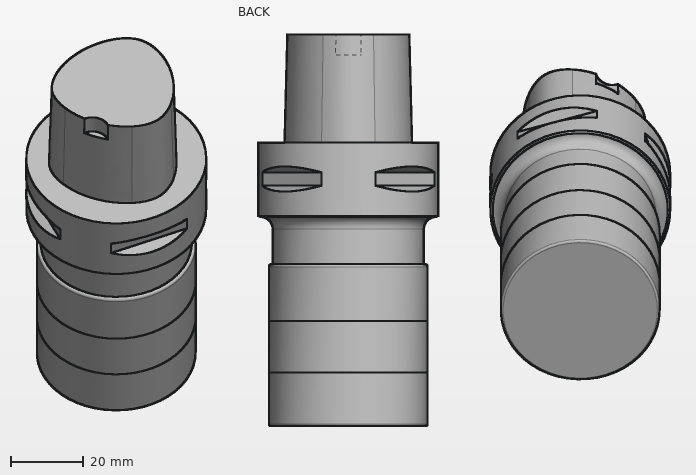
import cadquery as cq
import math

TOTAL_HEIGHT = 108.6
SHANK_BASE_Z = 78.6
COLLAR_BOTTOM_Z = 58.3
NECK_TOP_Z = 54.7
SLEEVE_TOP_Z = 45.0
UPPER_JOINT_Z = 29.2
LOWER_JOINT_Z = 14.9

COLLAR_DIAMETER = 50.0
NECK_DIAMETER = 42.0
SLEEVE_DIAMETER = 44.1
NECK_FILLET = 3.3
SLEEVE_TOP_FILLET = 0.9
SLEEVE_BOTTOM_FILLET = 0.7

SHANK_MEAN_RADIUS = 17.7
SHANK_LOBE_HEIGHT = 1.1
SHANK_TAPER = 0.8
LOBE_COUNT = 3
FLANK_HALF_ANGLE = 25.0
CURVE_STEPS = 8

NOTCH_DEPTH = 5.6
NOTCH_RADIUS = 4.7
NOTCH_BACK_Y = -14.1

GROOVE_COUNT = 4
GROOVE_CENTRE_Z = 68.5
GROOVE_FLOOR_RADIUS = 22.2
GROOVE_FLOOR_WIDTH = 3.7
GROOVE_FLANK_ANGLE = 30.0


def lobed_point(mean_radius, angle, z):
    """Point of the three-lobed outline whose outward normal lies at the given angle."""
    lobe_phase = LOBE_COUNT * (angle - math.pi / 2)
    support = mean_radius + SHANK_LOBE_HEIGHT * math.cos(lobe_phase)
    slope = -LOBE_COUNT * SHANK_LOBE_HEIGHT * math.sin(lobe_phase)
    x = support * math.cos(angle) - slope * math.sin(angle)
    y = support * math.sin(angle) + slope * math.cos(angle)
    return cq.Vector(x, y, z)


def lobed_span(mean_radius, z, start, end):
    """Smooth outline edge between two normal angles in degrees."""
    angles = [math.radians(start + (end - start) * i / CURVE_STEPS) for i in range(CURVE_STEPS + 1)]
    points = [lobed_point(mean_radius, angle, z) for angle in angles]
    tangents = [cq.Vector(-math.sin(a), math.cos(a), 0) for a in (angles[0], angles[-1])]
    return cq.Edge.makeSpline(points, tangents=tangents)


def lobed_outline(mean_radius, z):
    """Closed outline of alternating flanks and lobes, starting at the -Y flank."""
    pitch = 360.0 / LOBE_COUNT
    edges = []
    for i in range(LOBE_COUNT):
        flank_middle = -90.0 + i * pitch
        flank_start = flank_middle - FLANK_HALF_ANGLE
        flank_end = flank_middle + FLANK_HALF_ANGLE
        edges.append(lobed_span(mean_radius, z, flank_start, flank_end))
        edges.append(lobed_span(mean_radius, z, flank_end, flank_start + pitch))
    return cq.Wire.assembleEdges(edges)


def make_shank():
    base = lobed_outline(SHANK_MEAN_RADIUS, SHANK_BASE_Z)
    top = lobed_outline(SHANK_MEAN_RADIUS - SHANK_TAPER, TOTAL_HEIGHT)
    shank = cq.Workplane(obj=cq.Solid.makeLoft([base, top], True))
    notch = (
        cq.Workplane("XY", origin=(0, NOTCH_BACK_Y - NOTCH_RADIUS, TOTAL_HEIGHT - NOTCH_DEPTH))
        .circle(NOTCH_RADIUS)
        .extrude(NOTCH_DEPTH)
    )
    return shank.cut(notch)


def make_collar_and_neck():
    """Turned collar running through a concave fillet into the neck."""
    collar_radius = COLLAR_DIAMETER / 2
    neck_radius = NECK_DIAMETER / 2
    fillet_top_z = NECK_TOP_Z + NECK_FILLET
    fillet_middle = NECK_FILLET * (1 - math.sqrt(0.5))
    return (
        cq.Workplane("XZ")
        .moveTo(0, SLEEVE_TOP_Z)
        .lineTo(neck_radius, SLEEVE_TOP_Z)
        .lineTo(neck_radius, NECK_TOP_Z)
        .threePointArc(
            (neck_radius + fillet_middle, fillet_top_z - fillet_middle),
            (neck_radius + NECK_FILLET, fillet_top_z),
        )
        .lineTo(collar_radius, COLLAR_BOTTOM_Z)
        .lineTo(collar_radius, SHANK_BASE_Z)
        .lineTo(0, SHANK_BASE_Z)
        .close()
        .revolve(360, (0, 0, 0), (0, 1, 0))
    )


def make_groove_cutter(direction):
    """Straight groove with a flat floor and flared flanks, facing the given direction in degrees."""
    collar_radius = COLLAR_DIAMETER / 2
    flare = (collar_radius - GROOVE_FLOOR_RADIUS) * math.tan(math.radians(GROOVE_FLANK_ANGLE))
    floor_half = GROOVE_FLOOR_WIDTH / 2
    mouth_half = floor_half + flare
    return (
        cq.Workplane("XZ", origin=(0, 0, GROOVE_CENTRE_Z))
        .polyline([
            (GROOVE_FLOOR_RADIUS, -floor_half),
            (collar_radius, -mouth_half),
            (collar_radius, mouth_half),
            (GROOVE_FLOOR_RADIUS, floor_half),
        ])
        .close()
        .extrude(collar_radius, both=True)
        .rotate((0, 0, 0), (0, 0, 1), direction)
    )


def make_holder():
    holder = make_collar_and_neck().union(make_shank())
    pitch = 360.0 / GROOVE_COUNT
    for i in range(GROOVE_COUNT):
        holder = holder.cut(make_groove_cutter((i + 0.5) * pitch))
    return holder


def make_sleeve(bottom_z, top_z):
    """Plain cylindrical section of the sleeve stack."""
    return (
        cq.Workplane("XY", origin=(0, 0, bottom_z))
        .circle(SLEEVE_DIAMETER / 2)
        .extrude(top_z - bottom_z)
    )


holder = make_holder()
upper_sleeve = make_sleeve(UPPER_JOINT_Z, SLEEVE_TOP_Z).faces(">Z").edges().fillet(SLEEVE_TOP_FILLET)
middle_sleeve = make_sleeve(LOWER_JOINT_Z, UPPER_JOINT_Z)
lower_sleeve = make_sleeve(0, LOWER_JOINT_Z).faces("<Z").edges().fillet(SLEEVE_BOTTOM_FILLET)

result = cq.Compound.makeCompound([
    holder.solids().val(),
    upper_sleeve.solids().val(),
    middle_sleeve.solids().val(),
    lower_sleeve.solids().val(),
])